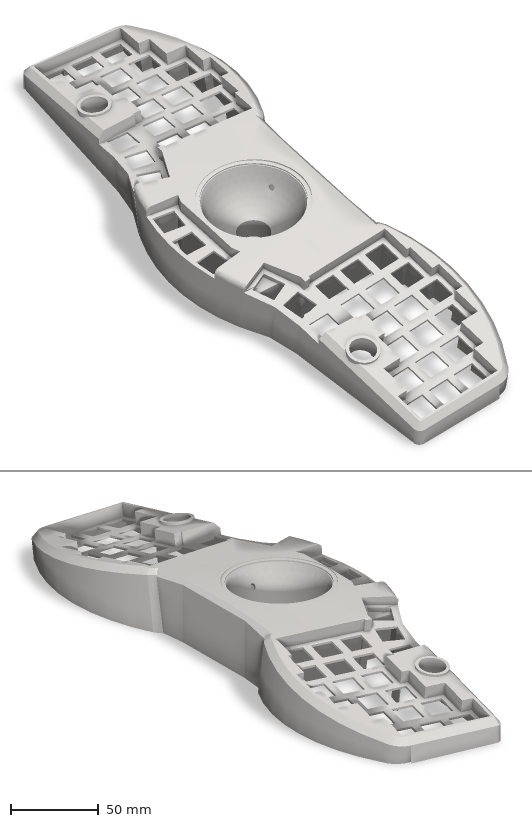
import cadquery as cq
import math

DECK_TOP = 38.5
WALL = 3.0
PLATE = 1.5
FAR = 400.0

WING_TILT = 10.0
WING_INNER_X = -66.5
WING_INNER_Z = 36.1
WING_CHAMFER = 4.0
WING_CORNER_RADIUS = 4.5
WING_DEPTH = 60.0
WING_FRONT_TIP = (-124.6, -24.3)
WING_FRONT_BEND = (-23.8, -33.3)
WING_FRONT_KNEE = (-4.5, -37.3)
WING_FRONT_INNER = (13.4, -46.3)
WING_BACK_INNER = (12.0, 47.6)
WING_ARC_INNER = (7.9, 51.0)
WING_ARC_CROWN = (-43.9, 64.9)
WING_ARC_OUTER = (-110.9, 49.3)
WING_CORNER_MIDDLE = (-116.8, 45.3)
WING_CORNER_OUTER = (-120.1, 38.0)

ARCH_DROP = DECK_TOP - WING_INNER_Z
ARCH_RADIUS = (WING_INNER_X**2 + ARCH_DROP**2) / (2 * ARCH_DROP)
ARCH_HALF_SPAN = 200.0
ARCH_BACK_LENGTH = 100.0
ARCH_FRONT_LENGTH = 50.0
DECK_BACK_Y = 45.2
DECK_BACK_HALF = 31.0
DECK_BACK_FLARE = 2.4
DECK_FLARE_HALF = 54.0
DECK_BACK_CHAMFER = 2.8
DECK_FOLD_Y = -9.7
PATCH_FOLD_Y = -35.0
DECK_FRONT_SLOPE = 1.0
PATCH_SLOPE = 2.5
NOSE_TIP_Y = -55.8
NOSE_BACK_Y = -36.0
NOSE_SIDE_Y = -46.3
NOSE_BASE_HALF_WIDTH = 46.2
NOSE_LIP = 3.5

KEY_PITCH = 19.05
KEY_RECESS_SIDE = 20.3
KEY_HOLE = 14.0
KEY_RECESS = 8.0
ROWS = 3
COLUMN_TURN = -5.0
COLUMN_FOOTS = [
    (-106.7, -18.9),
    (-86.6, -11.9),
    (-67.6, 0.8),
    (-48.55, 5.8),
    (-29.55, 0.8),
    (-10.5, -1.8),
]
THUMB_KEYS = [(-31.5, -20.5, -4.0), (-10.9, -24.1, -15.0), (9.1, -31.4, -26.0)]
THUMB_RECESS = [
    (-39.0, -45.0),
    (-39.2, 2.0),
    (0.0, 2.0),
    (-3.6, -15.8),
    (0.8, -16.0),
    (21.8, -26.2),
    (12.7, -46.6),
]
NOSE_KEYS = [(-21.1, -44.5, -8.0), (0.0, -46.0, 0.0), (21.1, -44.5, 8.0)]
NOSE_RECESS_HALF = [(24.0, -33.9), (29.5, -31.7), (33.3, -60.0)]
NOSE_FLOOR_Z = 30.0

PALM_CENTRE = (-61.5, -17.8)
PALM_BOSS = 20.0
PALM_BOSS_HEIGHT = 1.5
PALM_HOLE = 16.0
PALM_INNER_END = -39.0
PALM_BACK = 0.0

BALL_DIAMETER = 62.0
BALL_CENTRE_Z = 42.0
SOCKET_RIM = 67.0
SOCKET_RIM_Z = 37.5
SOCKET_LEDGE_Z = 36.5
SOCKET_HOLE = 20.0
BEARING_HOLE = 3.5
BEARING_RADIUS = 26.0
BEARING_DEPTH = 2.0
BEARINGS = 3


def wing_plane(drop=0.0):
    """Plane parallel to the left wing's top, moved down along the wing's normal."""
    tilt = math.radians(WING_TILT)
    plane = cq.Plane(
        origin=(WING_INNER_X, 0, WING_INNER_Z),
        xDir=(math.cos(tilt), 0, math.sin(tilt)),
        normal=(-math.sin(tilt), 0, math.cos(tilt)),
    )
    plane.origin = plane.toWorldCoords((0, 0, -drop))
    return plane


def wing_corner():
    """Start, middle and end of the rounded front corner at the wing tip."""
    corner = cq.Vector(*WING_FRONT_TIP)
    to_side = (cq.Vector(*WING_CORNER_OUTER) - corner).normalized()
    to_front = (cq.Vector(*WING_FRONT_BEND) - corner).normalized()
    half_angle = to_side.getAngle(to_front) / 2
    tangent = WING_CORNER_RADIUS / math.tan(half_angle)
    gap = WING_CORNER_RADIUS / math.sin(half_angle) - WING_CORNER_RADIUS
    start = corner + to_side * tangent
    end = corner + to_front * tangent
    middle = corner + (to_side + to_front).normalized() * gap
    return [(point.x, point.y) for point in (start, middle, end)]


def wing_outline(drop=0.0):
    corner_start, corner_middle, corner_end = wing_corner()
    return (
        cq.Workplane(wing_plane(drop))
        .moveTo(*corner_start)
        .threePointArc(corner_middle, corner_end)
        .lineTo(*WING_FRONT_BEND)
        .lineTo(*WING_FRONT_KNEE)
        .lineTo(*WING_FRONT_INNER)
        .lineTo(*WING_BACK_INNER)
        .lineTo(*WING_ARC_INNER)
        .threePointArc(WING_ARC_CROWN, WING_ARC_OUTER)
        .threePointArc(WING_CORNER_MIDDLE, WING_CORNER_OUTER)
        .close()
    )


def both_wings(left):
    return left.union(left.mirror("YZ"))


def wing_tip():
    """Upright end wall that stands below the chamfer at the outer end of the left wing."""
    outline = wing_outline(WING_CHAMFER)
    prism = cq.Workplane(cq.Solid.extrudeLinear(outline.val(), [], cq.Vector(0, 0, -WING_DEPTH)))
    corner_end = wing_plane(WING_CHAMFER).toWorldCoords(wing_corner()[-1])
    keep = cq.Workplane("XY").box(FAR, FAR, FAR).translate((corner_end.x - FAR / 2, 0, 0))
    return prism.intersect(keep)


def wing_block():
    left = wing_outline().extrude(-WING_DEPTH)
    left = left.faces(cq.selectors.DirectionMinMaxSelector(wing_plane().zDir)).chamfer(WING_CHAMFER)
    return both_wings(left.union(wing_tip()))


def deck_outline():
    half = -WING_INNER_X
    flare_y = DECK_BACK_Y + DECK_BACK_FLARE
    return (
        cq.Workplane("XY")
        .moveTo(-half, NOSE_BACK_Y)
        .lineTo(half, NOSE_BACK_Y)
        .lineTo(half, flare_y)
        .lineTo(DECK_FLARE_HALF, flare_y)
        .lineTo(DECK_BACK_HALF, DECK_BACK_Y)
        .lineTo(-DECK_BACK_HALF, DECK_BACK_Y)
        .lineTo(-DECK_FLARE_HALF, flare_y)
        .lineTo(-half, flare_y)
        .close()
    )


def nose_section(half, inset, z):
    return (
        cq.Workplane("XY", origin=(0, 0, z))
        .moveTo(-half, 0)
        .lineTo(-half, NOSE_SIDE_Y + inset)
        .threePointArc((0, NOSE_TIP_Y + inset), (half, NOSE_SIDE_Y + inset))
        .lineTo(half, 0)
        .close()
        .val()
    )


def nose_block(inset=0.0):
    """Front bulge; its ends lean with the wing walls, so the top is wider than the base."""
    base = NOSE_BASE_HALF_WIDTH - inset
    spread = DECK_TOP * math.tan(math.radians(WING_TILT))
    sections = [nose_section(base, inset, 0), nose_section(base + spread, inset, DECK_TOP)]
    return cq.Workplane(cq.Solid.makeLoft(sections, True))


def under_arch(y, raise_by, length, slope):
    """Space under the deck arch, swept from y towards the front down a slope."""
    half = ARCH_HALF_SPAN
    top = DECK_TOP + raise_by
    edge = top - ARCH_RADIUS + math.sqrt(ARCH_RADIUS**2 - half**2)
    wire = (
        cq.Workplane("XZ", origin=(0, y, 0))
        .moveTo(-half, -FAR)
        .lineTo(-half, edge)
        .threePointArc((0, top), (half, edge))
        .lineTo(half, -FAR)
        .close()
        .val()
    )
    fall = length * math.tan(math.radians(slope))
    return cq.Workplane(cq.Solid.extrudeLinear(wire, [], cq.Vector(0, -length, -fall)))


def deck_space():
    back = under_arch(DECK_FOLD_Y + ARCH_BACK_LENGTH, 0, ARCH_BACK_LENGTH, 0)
    front_length = DECK_FOLD_Y - PATCH_FOLD_Y
    front = under_arch(DECK_FOLD_Y, 0, front_length, DECK_FRONT_SLOPE)
    patch_drop = front_length * math.tan(math.radians(DECK_FRONT_SLOPE))
    patch = under_arch(PATCH_FOLD_Y, -patch_drop, ARCH_FRONT_LENGTH, PATCH_SLOPE)
    return back.union(front).union(patch)


def outer_body():
    deck = deck_outline().extrude(DECK_TOP)
    bevel = (
        cq.Workplane("YZ", origin=(-FAR / 2, 0, 0))
        .moveTo(DECK_BACK_Y - DECK_BACK_CHAMFER, FAR)
        .lineTo(DECK_BACK_Y - DECK_BACK_CHAMFER, DECK_TOP)
        .lineTo(DECK_BACK_Y + FAR, DECK_TOP - DECK_BACK_CHAMFER - FAR)
        .lineTo(DECK_BACK_Y + FAR, FAR)
        .close()
        .extrude(FAR)
    )
    deck = deck.cut(bevel)
    body = wing_block().union(deck).union(nose_block()).intersect(deck_space())
    lip = cq.selectors.NearestToPointSelector((0, NOSE_TIP_Y, DECK_TOP))
    body = body.edges(lip).fillet(NOSE_LIP)
    below = cq.Workplane("XY").box(2 * FAR, FAR, FAR, centered=(True, True, False)).translate((0, 0, -FAR))
    return body.cut(below)


def key_square(plane, size, x, y, turn, height):
    return (
        cq.Workplane(plane)
        .transformed(offset=(x, y, 0), rotate=(0, 0, turn))
        .rect(size, size)
        .extrude(height)
    )


def finger_keys():
    turn = math.radians(COLUMN_TURN)
    keys = []
    for along, foot in COLUMN_FOOTS:
        for row in range(ROWS):
            across = foot + row * KEY_PITCH
            x = along * math.cos(turn) - across * math.sin(turn)
            y = along * math.sin(turn) + across * math.cos(turn)
            keys.append((x, y, COLUMN_TURN))
    return keys


def wing_recess(drop, height):
    """Space above or below the key plate, following the outer sides of the key fields."""
    floor = wing_plane(drop)
    space = cq.Workplane(floor).polyline(THUMB_RECESS).close().extrude(height)
    for x, y, turn in finger_keys():
        space = space.union(key_square(floor, KEY_RECESS_SIDE, x, y, turn, height))
    return space


def palm_hollow(drop):
    return (
        cq.Workplane(wing_plane(drop))
        .moveTo(PALM_INNER_END, PALM_BACK)
        .lineTo(PALM_INNER_END, PALM_BACK - FAR)
        .lineTo(PALM_INNER_END - FAR, PALM_BACK - FAR)
        .lineTo(PALM_INNER_END - FAR, PALM_BACK)
        .close()
        .extrude(-WING_DEPTH)
    )


def wing_hollow():
    """Open space below the key plate and the palm rest, inside the outer wall."""
    drop = KEY_RECESS + PLATE
    inside = wing_outline(drop).offset2D(-WALL).extrude(-WING_DEPTH)
    return wing_recess(drop, -WING_DEPTH).union(palm_hollow(drop)).intersect(inside)


def wing_cuts():
    floor = wing_plane(KEY_RECESS)
    cuts = wing_recess(KEY_RECESS, 2 * KEY_RECESS).union(wing_hollow())
    for x, y, turn in finger_keys() + THUMB_KEYS:
        cuts = cuts.union(key_square(floor, KEY_HOLE, x, y, turn, -2 * PLATE))
    return both_wings(cuts)


def palm_ring(diameter, top, bottom):
    ring = cq.Workplane(wing_plane(-top)).center(*PALM_CENTRE).circle(diameter / 2)
    return both_wings(ring.extrude(bottom - top))


def nose_recess(z, height):
    mirrored = [(-x, y) for x, y in reversed(NOSE_RECESS_HALF)]
    outline = NOSE_RECESS_HALF + mirrored
    return cq.Workplane("XY", origin=(0, 0, z)).polyline(outline).close().extrude(height)


def nose_cuts():
    floor = cq.Plane(origin=(0, 0, NOSE_FLOOR_Z))
    hollow = nose_recess(0, NOSE_FLOOR_Z - PLATE).intersect(nose_block(WALL))
    cuts = nose_recess(NOSE_FLOOR_Z, KEY_PITCH).union(hollow)
    for x, y, turn in NOSE_KEYS:
        cuts = cuts.union(key_square(floor, KEY_HOLE, x, y, turn, -2 * PLATE))
    return cuts


def bearing_pocket(index):
    """Blind hole that runs outwards from the ball's centre into the socket wall."""
    sink = math.degrees(math.acos(BEARING_RADIUS / (BALL_DIAMETER / 2)))
    return (
        cq.Workplane("YZ")
        .circle(BEARING_HOLE / 2)
        .extrude(BALL_DIAMETER / 2 + BEARING_DEPTH)
        .rotate((0, 0, 0), (0, 1, 0), sink)
        .rotate((0, 0, 0), (0, 0, 1), index * 360 / BEARINGS)
        .translate((0, 0, BALL_CENTRE_Z))
    )


def socket():
    rim = cq.Workplane("XY", origin=(0, 0, SOCKET_RIM_Z)).circle(SOCKET_RIM / 2).extrude(WALL)
    ledge = cq.Workplane("XY", origin=(0, 0, SOCKET_LEDGE_Z)).circle(BALL_DIAMETER / 2).extrude(WALL)
    hole = cq.Workplane("XY").circle(SOCKET_HOLE / 2).extrude(DECK_TOP)
    cavity = cq.Workplane("XY").sphere(BALL_DIAMETER / 2).translate((0, 0, BALL_CENTRE_Z))
    cavity = cavity.union(rim).union(ledge).union(hole)
    for index in range(BEARINGS):
        cavity = cavity.union(bearing_pocket(index))
    return cavity


result = outer_body().cut(wing_cuts()).cut(nose_cuts()).cut(socket())
result = result.union(palm_ring(PALM_BOSS, PALM_BOSS_HEIGHT, -WALL))
result = result.cut(palm_ring(PALM_HOLE, 2 * PALM_BOSS_HEIGHT, -WING_DEPTH))